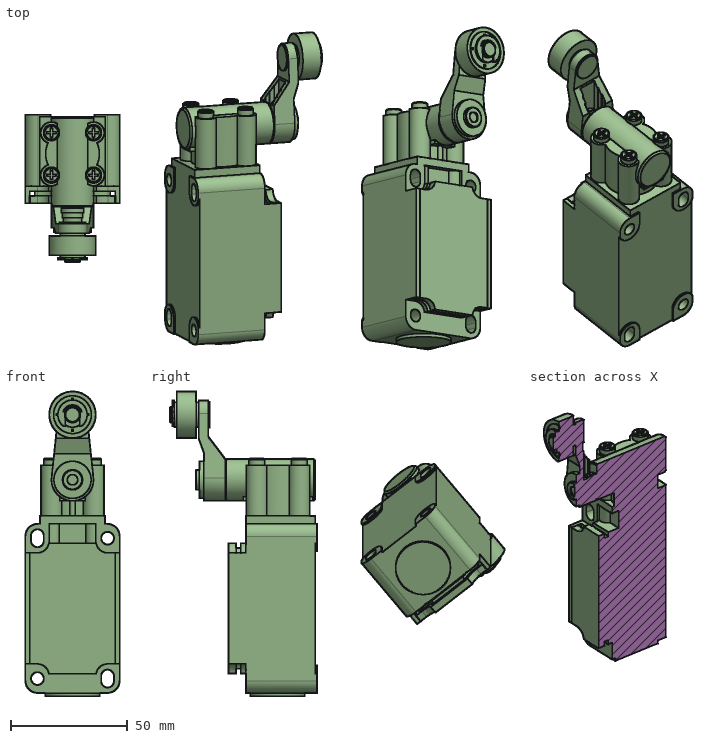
import cadquery as cq
import math


overall_height = 130.7

body_width = 40.5
body_bottom = 1.5
body_top = 74.0
body_corner_radius = 5.4
body_back = 0.8
body_front = 30.6
body_middle = (body_bottom + body_top) / 2

hole_diameter = 5.4
hole_x = 15.0
hole_half_spacing = 30.0
slot_length = 7.6
pad_radius = 5.6

cover_front = 38.0
cover_half_height = 23.8
tongue_half_width = 10.0
tongue_half_height = 28.0
ear_corner_radius = hole_x - tongue_half_width
cover_side_wall = 2.0
lid_joint_width = 0.1
seal_groove_back = 32.8
seal_groove_front = 34.8
seal_groove_depth = 2.1

plate_width = 28.0
plate_top = 77.4
recess_back = 27.2
recess_column_radius = 3.7

entry_radius = 11.8
entry_depth = 17.0

column_x = 9.0
column_radius = 4.6
column_back = 7.7
column_front = 25.9
column_depths = (column_back, column_front)
head_middle = (column_back + column_front) / 2
head_top = 99.1
core_radius = 11.5
core_rib_radius = 1.2
screw_radius = 3.4
screw_top = 102.0
screw_chamfer = 0.5
screw_slot_length = 4.2
screw_slot_width = 0.9
screw_slot_depth = 1.6

axis_z = 92.8
housing_radius = 9.0
housing_back = 0.8
housing_front = 39.0
housing_chamfer = 0.8
lug_half_width = 5.4
lug_back = 1.8
lug_front = 31.8
lug_height = 1.8
neck_radius = 8.5

hub_back = 39.3
hub_front = 48.5
tip_back = 46.7
tip_front = 50.8
tip_radius = 6.1
back_slope_bottom = 101.7
front_slope_bottom = 104.0
back_slope_top = 111.4
front_slope_top = 110.6
slot_steps = ((40.1, 4.3), (42.1, 4.8), (44.0, 4.3), (46.1, 3.9))

washer_radius = 8.0
washer_front = 50.5
nut_radius = 4.3
nut_front = 52.0
nut_chamfer = 0.3
shaft_bore_radius = 2.2
shaft_bore_depth = 0.7

roller_radius = 20.0 / 2
roller_z = overall_height - roller_radius
roller_back = 51.9
roller_front = 60.3
roller_recess_radius = 8.1
roller_recess_depth = 0.4
tick_radius = 6.7
tick_size = 0.7
rivet_head_radius = 5.6
rivet_head_back = 46.0
spacer_radius = 5.4
spacer_front = 61.3
pin_radius = 3.4
pin_front = 63.1
pin_chamfer = 0.4

clip_front = 62.1
clip_radius = 6.3
clip_mouth_half_width = 3.0
clip_bottom = 5.0
clip_gap_radius = 4.2
clip_gap_start = 1.3
clip_finger_width = 0.8


def front_plane(depth):
    """Plane parallel to XZ at a depth from the mounting face; it extrudes forward."""
    return cq.Workplane("XZ", origin=(0, -depth, 0))


def block(x_min, x_max, back, front, z_min, z_max):
    """Box between two X values, two depths and two heights."""
    plane = front_plane(back).center((x_min + x_max) / 2, (z_min + z_max) / 2)
    return plane.rect(x_max - x_min, z_max - z_min).extrude(front - back)


def disc(x, z, radius, back, front):
    """Cylinder along Y between two depths."""
    return front_plane(back).center(x, z).circle(radius).extrude(front - back)


def post(x, depth, radius, bottom, top):
    """Upright cylinder between two heights."""
    return cq.Workplane("XY", origin=(x, -depth, bottom)).circle(radius).extrude(top - bottom)


def body_outline(back, front):
    shape = block(-body_width / 2, body_width / 2, back, front, body_bottom, body_top)
    return shape.edges("|Y").fillet(body_corner_radius)


def cover_shape(half_width, inset, back, front):
    """Cover outline, with a rounded notch at each corner for the ears, drawn in by an inset."""
    x_max = half_width - inset
    z_max = tongue_half_height - inset
    shape = block(-x_max, x_max, back, front, body_middle - z_max, body_middle + z_max)
    notch_size = body_width / 2
    notch_x = tongue_half_width - inset + notch_size / 2
    notch_z = cover_half_height - inset + notch_size / 2
    for side in (-1, 1):
        for end in (-1, 1):
            plane = front_plane(back).center(side * notch_x, body_middle + end * notch_z)
            notch = plane.rect(notch_size, notch_size).extrude(front - back)
            shape = shape.cut(notch.edges("|Y").fillet(ear_corner_radius + inset))
    return shape


def make_body():
    body = body_outline(body_back, body_front)
    pads = None
    for x in (-hole_x, hole_x):
        for end in (-1, 1):
            hole_z = body_middle + end * hole_half_spacing
            square = front_plane(0).center(x, hole_z + end * pad_radius)
            pad = square.rect(2 * pad_radius, 2 * pad_radius).extrude(body_back)
            pad = pad.union(disc(x, hole_z, pad_radius, 0, body_back))
            pads = pad if pads is None else pads.union(pad)
    body = body.union(pads.intersect(body_outline(0, body_back)))
    plate = block(-plate_width / 2, plate_width / 2, body_back, body_front, body_middle, plate_top)
    entry = post(0, entry_depth, entry_radius, 0, body_middle)
    return body.union(plate).union(entry)


def add_cover(body):
    lid_half_width = body_width / 2 - cover_side_wall
    body = body.union(cover_shape(body_width / 2, 0, body_front, cover_front))
    groove = cover_shape(lid_half_width, 0, seal_groove_back, seal_groove_front)
    core = cover_shape(lid_half_width, seal_groove_depth, seal_groove_back, seal_groove_front)
    body = body.cut(groove.cut(core))
    for x in (-lid_half_width, lid_half_width):
        body = body.cut(block(x - lid_joint_width / 2, x + lid_joint_width / 2,
                              seal_groove_front, cover_front,
                              body_middle - cover_half_height, body_middle + cover_half_height))
    return body


def cut_recess(body):
    """Recess under the plate's front edge, with the screw columns showing at both ends."""
    recess_floor = body_middle + tongue_half_height
    recess = block(-tongue_half_width, tongue_half_width, recess_back, body_front,
                   recess_floor, body_top)
    for x in (-column_x, column_x):
        recess = recess.cut(post(x, column_front, recess_column_radius, recess_floor, body_top))
    return body.cut(recess)


def cut_mounting_holes(body):
    """Two round holes and two upright slots, placed on opposite diagonals."""
    for side in (-1, 1):
        for end in (-1, 1):
            plane = front_plane(0).center(side * hole_x, body_middle + end * hole_half_spacing)
            if side == end:
                hole = plane.circle(hole_diameter / 2)
            else:
                hole = plane.slot2D(slot_length, hole_diameter, 90)
            body = body.cut(hole.extrude(body_front))
    return body


def make_screw(x, depth):
    screw = post(x, depth, screw_radius, head_top, screw_top).faces(">Z").edges().chamfer(screw_chamfer)
    slot_plane = cq.Workplane("XY", origin=(x, -depth, screw_top))
    for angle in (0, 90):
        slot = slot_plane.slot2D(screw_slot_length, screw_slot_width, angle).extrude(-screw_slot_depth)
        screw = screw.cut(slot)
    return screw


def make_head():
    head = post(0, head_middle, core_radius, plate_top, head_top)
    head = head.union(post(0, head_middle + core_radius, core_rib_radius, plate_top, axis_z))
    for x in (-column_x, column_x):
        for depth in column_depths:
            head = head.union(post(x, depth, column_radius, plate_top, head_top))
    housing = disc(0, axis_z, housing_radius, housing_back, housing_front)
    housing = housing.faces(">Y").edges().chamfer(housing_chamfer)
    housing_bottom = axis_z - housing_radius
    lug = block(-lug_half_width, lug_half_width, lug_back, lug_front,
                housing_bottom, housing_bottom + lug_height)
    head = head.union(housing).union(lug)
    for x in (-column_x, column_x):
        for depth in column_depths:
            head = head.union(make_screw(x, depth))
    return head.union(disc(0, axis_z, neck_radius, housing_front, hub_back))


def lever_outline():
    """Front outline: two discs joined by their common tangents, through the lever's full depth."""
    distance = roller_z - axis_z
    tilt = math.asin((housing_radius - tip_radius) / distance)
    hub_x = housing_radius * math.cos(tilt)
    hub_z = axis_z + housing_radius * math.sin(tilt)
    tip_x = tip_radius * math.cos(tilt)
    tip_z = roller_z + tip_radius * math.sin(tilt)
    outline = (
        front_plane(hub_back)
        .moveTo(-hub_x, hub_z)
        .threePointArc((0, axis_z - housing_radius), (hub_x, hub_z))
        .lineTo(tip_x, tip_z)
        .threePointArc((0, roller_z + tip_radius), (-tip_x, tip_z))
        .close()
    )
    return outline.extrude(tip_front - hub_back)


def make_lever():
    lever_bottom = axis_z - housing_radius
    lever_top = roller_z + tip_radius
    side_profile = (
        cq.Workplane("YZ", origin=(-housing_radius, 0, 0))
        .moveTo(-hub_back, lever_bottom)
        .lineTo(-hub_back, back_slope_bottom)
        .lineTo(-tip_back, back_slope_top)
        .lineTo(-tip_back, lever_top)
        .lineTo(-tip_front, lever_top)
        .lineTo(-tip_front, front_slope_top)
        .lineTo(-hub_front, front_slope_bottom)
        .lineTo(-hub_front, lever_bottom)
        .close()
        .extrude(2 * housing_radius)
    )
    lever = lever_outline().intersect(side_profile)
    step_back = hub_back
    for step_front, radius in slot_steps:
        opening = block(-radius, radius, step_back, step_front, axis_z, back_slope_top)
        lever = lever.cut(opening.cut(disc(0, axis_z, radius, step_back, step_front)))
        step_back = step_front
    return lever


def make_shaft_end():
    washer = disc(0, axis_z, washer_radius, hub_front, washer_front)
    nut = disc(0, axis_z, nut_radius, washer_front, nut_front).faces("<Y").edges().chamfer(nut_chamfer)
    bore = disc(0, axis_z, shaft_bore_radius, nut_front - shaft_bore_depth, nut_front)
    return washer.union(nut).cut(bore)


def make_roller():
    roller = disc(0, roller_z, roller_radius, roller_back, roller_front)
    recess_floor = roller_front - roller_recess_depth
    roller = roller.cut(disc(0, roller_z, roller_recess_radius, recess_floor, roller_front))
    ticks = (
        front_plane(recess_floor - roller_recess_depth)
        .center(0, roller_z)
        .polarArray(tick_radius, 0, 360, 4)
        .rect(tick_size, tick_size)
        .extrude(roller_recess_depth)
    )
    return roller.cut(ticks)


def make_pin():
    head = disc(0, roller_z, rivet_head_radius, rivet_head_back, tip_back)
    spacer = disc(0, roller_z, spacer_radius, tip_back, spacer_front)
    pin = disc(0, roller_z, pin_radius, tip_back, pin_front).faces("<Y").edges().chamfer(pin_chamfer)
    return head.union(spacer).union(pin)


def make_clip():
    """E-clip: open at the bottom, with a gap on each side of its top finger."""
    clip = disc(0, roller_z, clip_radius, spacer_front, clip_front)
    clip = clip.cut(block(-clip_mouth_half_width, clip_mouth_half_width, spacer_front, clip_front,
                          roller_z - clip_radius, roller_z))
    clip = clip.cut(block(-clip_radius, clip_radius, spacer_front, clip_front,
                          roller_z - clip_radius, roller_z - clip_bottom))
    gap = disc(0, roller_z, clip_gap_radius, spacer_front, clip_front)
    gap = gap.intersect(block(-clip_gap_radius, clip_gap_radius, spacer_front, clip_front,
                              roller_z + clip_gap_start, roller_z + clip_gap_radius))
    gap = gap.cut(block(-clip_finger_width / 2, clip_finger_width / 2, spacer_front, clip_front,
                        roller_z, roller_z + clip_gap_radius))
    return clip.cut(gap)


body = cut_mounting_holes(cut_recess(add_cover(make_body())))
lever_assembly = make_lever().union(make_shaft_end()).union(make_roller())
lever_assembly = lever_assembly.union(make_clip()).union(make_pin())
result = body.union(make_head()).union(lever_assembly)